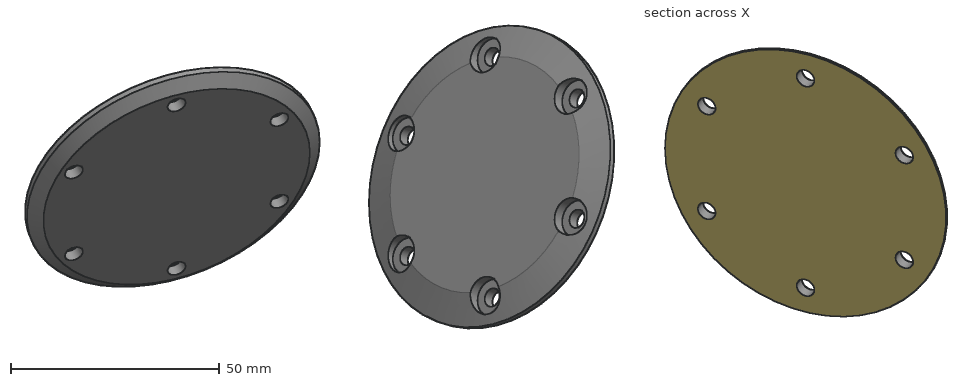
import cadquery as cq

thickness = 6.0
rim_diameter = 74.1
face_diameter = 57.95
back_diameter = 67.4
rim_start = 2.0
rim_end = 3.55

hole_count = 6
hole_circle_diameter = 60.0
hole_diameter = 4.5
counterbore_diameter = 9.0
counterbore_depth = 3.0


def make_disc():
    """Revolve the half profile, bevelled on both sides of the rim, about X."""
    return (
        cq.Workplane("XY")
        .moveTo(0, 0)
        .lineTo(0, face_diameter / 2)
        .lineTo(rim_start, rim_diameter / 2)
        .lineTo(rim_end, rim_diameter / 2)
        .lineTo(thickness, back_diameter / 2)
        .lineTo(thickness, 0)
        .close()
        .revolve(360, (0, 0, 0), (1, 0, 0))
    )


def make_hole_cylinders(diameter, depth):
    """Cylinders on the hole circle, running from the outer face along +X."""
    return (
        cq.Workplane("YZ")
        .polarArray(hole_circle_diameter / 2, 90, 360, hole_count)
        .circle(diameter / 2)
        .extrude(depth)
    )


through_holes = make_hole_cylinders(hole_diameter, thickness)
counterbores = make_hole_cylinders(counterbore_diameter, counterbore_depth)
result = make_disc().cut(through_holes).cut(counterbores)